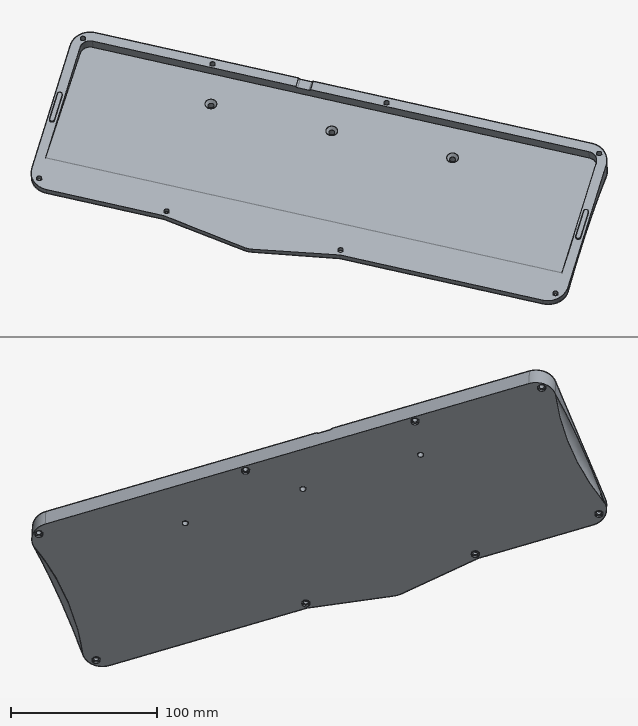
import cadquery as cq
import math

LENGTH = 378.99
DEPTH = 139.62
HEIGHT = 16.25
TILT = 5.0

CORNER_RADIUS = 14.0
TIP_PROJECTION = 10.8
TIP_X = -30.0
TIP_HALF_WIDTH = 62.2
TIP_RADIUS = 15.0

WALL = 7.0
POCKET_RADIUS = CORNER_RADIUS - WALL
FLOOR_Z = 7.2

RIM_HOLE_DIAMETER = 3.5
CORNER_HOLE_INSET = WALL
BACK_CORNER_HOLE_INSET = 6.6
FRONT_CORNER_HOLE_INSET = 7.4
EDGE_HOLE_INSET = 4.0
EDGE_HOLE_OFFSET = 61.5
HEAD_DIAMETER = 5.6
HEAD_DEPTH = 2.0

FLOOR_HOLE_COUNT = 3
FLOOR_HOLE_DIAMETER = 4.0
FLOOR_HOLE_PITCH = 85.4
FLOOR_HOLE_Y = -30.6
COUNTERSINK_DIAMETER = 8.0
COUNTERSINK_ANGLE = 90.0

PAD_LENGTH = 23.5
PAD_WIDTH = 3.5
PAD_HEIGHT = 1.5
PAD_ROOT = 1.0

NOTCH_X = -26.6
NOTCH_WIDTH = 10.3
NOTCH_DEPTH = 1.2
NOTCH_CORNER_RADIUS = 1.1

GRIP_HEIGHT = 6.0

TILT_ANGLE = math.radians(TILT)
BACK_OVERHANG = HEIGHT * math.tan(TILT_ANGLE)
TIP_REACH = (DEPTH - BACK_OVERHANG) / math.cos(TILT_ANGLE)
FRONT_REACH = TIP_REACH - TIP_PROJECTION
SIDE_X = LENGTH / 2
BLANK_THICKNESS = 2 * HEIGHT
GRIP_LENGTH = FRONT_REACH - 2 * CORNER_RADIUS


def tilted(shape):
    """Move a shape from the level local frame of the top face to its place on the part."""
    return shape.rotate((0, 0, 0), (1, 0, 0), TILT).translate((0, 0, HEIGHT))


def half_space(z):
    """Large block that fills everything above the given height."""
    block = cq.Workplane().box(2 * LENGTH, 4 * DEPTH, 4 * HEIGHT, centered=(True, True, False))
    return block.translate((0, 0, z))


def make_body():
    """Rounded plate with a pointed front, square to the sloped top and flat at Z = 0."""
    plate = (
        cq.Workplane()
        .center(0, -FRONT_REACH / 2)
        .rect(LENGTH, FRONT_REACH)
        .extrude(-BLANK_THICKNESS)
        .edges("|Z")
        .fillet(CORNER_RADIUS)
    )
    half_turn = math.atan2(TIP_PROJECTION, TIP_HALF_WIDTH)
    sharp_reach = TIP_REACH + TIP_RADIUS * (1 / math.cos(half_turn) - 1)
    tip = (
        cq.Workplane()
        .moveTo(TIP_X - TIP_HALF_WIDTH, -FRONT_REACH)
        .lineTo(TIP_X, -sharp_reach)
        .lineTo(TIP_X + TIP_HALF_WIDTH, -FRONT_REACH)
        .lineTo(TIP_X, -FRONT_REACH / 2)
        .close()
        .extrude(-BLANK_THICKNESS)
        .edges("|Z and <Y")
        .fillet(TIP_RADIUS)
    )
    return tilted(plate.union(tip)).intersect(half_space(0))


def make_pocket():
    """Tilted rounded pocket with a level floor that meets the top face at the front."""
    pocket = (
        cq.Workplane()
        .center(0, -FRONT_REACH / 2)
        .rect(LENGTH - 2 * WALL, FRONT_REACH - 2 * WALL)
        .extrude(BLANK_THICKNESS, both=True)
        .edges("|Z")
        .fillet(POCKET_RADIUS)
    )
    return tilted(pocket).intersect(half_space(FLOOR_Z))


def make_rim_holes():
    """Screw holes square to the top face, widened for the heads near the flat bottom."""
    corner_x = SIDE_X - CORNER_HOLE_INSET
    points = []
    for x in (-corner_x, corner_x):
        points += [(x, -BACK_CORNER_HOLE_INSET), (x, FRONT_CORNER_HOLE_INSET - FRONT_REACH)]
    for x in (TIP_X - EDGE_HOLE_OFFSET, TIP_X + EDGE_HOLE_OFFSET):
        points += [(x, -EDGE_HOLE_INSET), (x, EDGE_HOLE_INSET - FRONT_REACH)]

    def bores(diameter):
        return tilted(cq.Workplane().pushPoints(points).circle(diameter / 2).extrude(-BLANK_THICKNESS))

    head_recesses = bores(HEAD_DIAMETER).cut(half_space(HEAD_DEPTH))
    return bores(RIM_HOLE_DIAMETER).union(head_recesses)


def drill_floor_holes(body):
    """Row of upright holes, countersunk from the pocket floor."""
    return (
        body.copyWorkplane(cq.Workplane(origin=(0, FLOOR_HOLE_Y, FLOOR_Z)))
        .rarray(FLOOR_HOLE_PITCH, 1, FLOOR_HOLE_COUNT, 1)
        .cskHole(FLOOR_HOLE_DIAMETER, COUNTERSINK_DIAMETER, COUNTERSINK_ANGLE)
    )


def make_pads():
    """Round-ended pads on the middle of the side walls, rooted inside them."""
    pad_x = SIDE_X - WALL / 2
    pads = (
        cq.Workplane()
        .pushPoints([(-pad_x, -FRONT_REACH / 2), (pad_x, -FRONT_REACH / 2)])
        .slot2D(PAD_LENGTH, PAD_WIDTH, 90)
        .extrude(PAD_HEIGHT + PAD_ROOT)
        .translate((0, 0, -PAD_ROOT))
    )
    return tilted(pads)


def make_notch():
    """Groove across the back wall with rounded lower edges."""
    notch = (
        cq.Workplane()
        .box(NOTCH_WIDTH, 2 * WALL, 2 * NOTCH_DEPTH)
        .edges("|Y and <Z")
        .fillet(NOTCH_CORNER_RADIUS)
        .translate((NOTCH_X, 0, 0))
    )
    return tilted(notch)


def make_grip(x):
    """Arched scoop: a circular segment turned about its chord, which runs along Y at Z = 0."""
    half_chord = GRIP_LENGTH / 2
    middle_y = -FRONT_REACH / 2 * math.cos(TILT_ANGLE) + BACK_OVERHANG / 2
    return (
        cq.Workplane(origin=(x, middle_y, 0))
        .moveTo(0, -half_chord)
        .threePointArc((GRIP_HEIGHT, 0), (0, half_chord))
        .close()
        .revolve(360, (0, -half_chord), (0, half_chord))
    )


body = make_body().cut(make_pocket()).cut(make_rim_holes()).cut(make_notch())
body = drill_floor_holes(body)
body = body.union(make_pads())
for side in (-SIDE_X, SIDE_X):
    body = body.cut(make_grip(side))
result = body